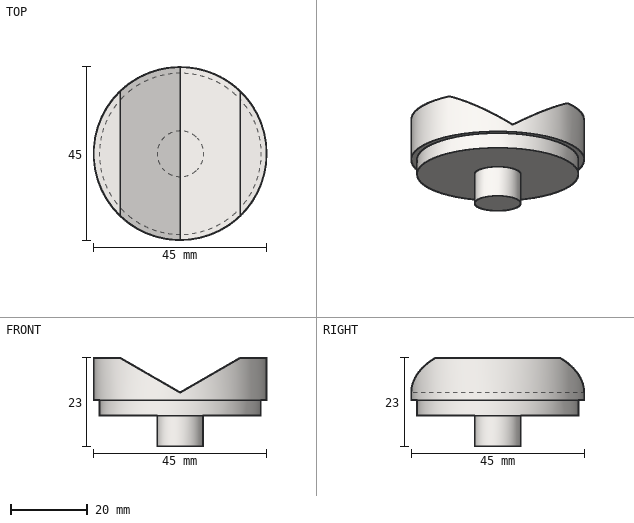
import cadquery as cq
import math

head_diameter = 45.0
head_height = 11.0
shoulder_diameter = 42.0
shoulder_height = 4.0
stem_diameter = 12.0
stem_height = 8.0
groove_depth = 9.0
groove_slope = 30.0

shoulder_bottom = stem_height
head_bottom = shoulder_bottom + shoulder_height
head_top = head_bottom + head_height


def disc(diameter, height, bottom):
    """Upright cylinder centred on the Z axis, standing on the given level."""
    return cq.Workplane("XY").workplane(offset=bottom).circle(diameter / 2).extrude(height)


def v_groove():
    """Symmetric V-shaped cutter running along Y across the whole head."""
    half_width = groove_depth / math.tan(math.radians(groove_slope))
    return (
        cq.Workplane("XZ")
        .moveTo(0, head_top - groove_depth)
        .lineTo(half_width, head_top)
        .lineTo(-half_width, head_top)
        .close()
        .extrude(head_diameter / 2, both=True)
    )


stem = disc(stem_diameter, stem_height, 0)
shoulder = disc(shoulder_diameter, shoulder_height, shoulder_bottom)
head = disc(head_diameter, head_height, head_bottom).cut(v_groove())

result = stem.union(shoulder).union(head)